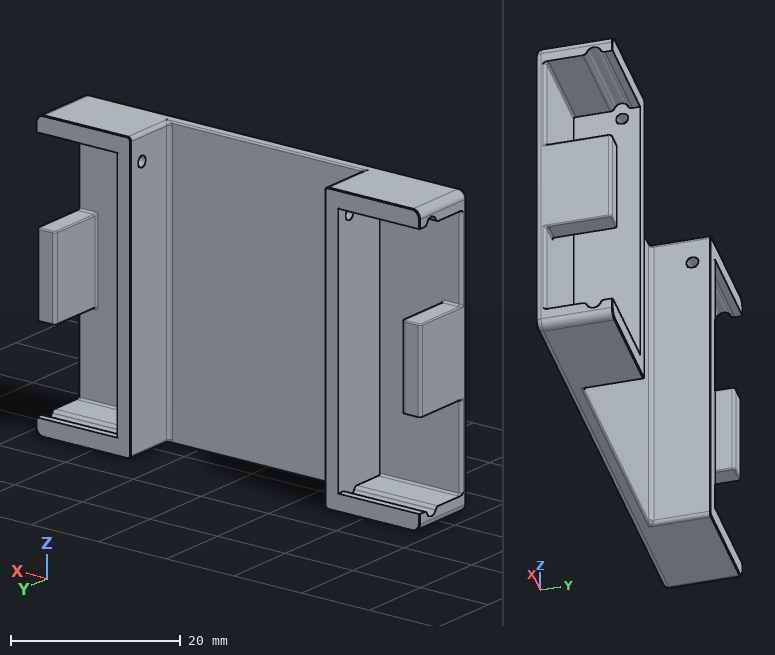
import cadquery as cq
import math

length = 56.7
depth = 9.45
height = 40.3

corner_radius = 1.1
front_radius = 0.7
rear_chamfer = 0.1

plate_thickness = 2.0
plate_edge_radius = 0.2
pod_length = 14.0
pod_edge_radius = 0.5
pod_root_radius = 0.5

pod_floor = 1.3
flange_thickness = 2.3
inner_wall_thickness = 2.0
sill_radius = 0.4
cavity_corner_radius = 0.3

tab_thickness = 2.7
tab_height = 11.75
tab_rear_setback = 0.15
tab_rear_radius = 0.4
tab_side_radius = 0.15

groove_radius = 0.9
groove_lip_radius = 0.55
groove_y = 7.15

hole_diameter = 1.5
hole_y = 7.25
hole_drop = 3.65

mid_x = length / 2
mid_z = height / 2
inner_wall_x = pod_length - inner_wall_thickness
cavity_height = height - 2 * flange_thickness
flange_faces_z = (flange_thickness, height - flange_thickness)
pod_inner_faces_x = (pod_length, length - pod_length)
plate_edges_z = (0, height)

margin = 0.55
tolerance = 0.005


def block(x_start, x_end, y_start, y_end, z_height):
    """Box centred on the part's middle height."""
    size = (x_end - x_start, y_end - y_start, z_height)
    corner = (x_start, y_start, mid_z - z_height / 2)
    return cq.Workplane("XY").box(*size, centered=False).translate(corner)


def edges_near(x, y, z, reach_x=tolerance, reach_y=tolerance, reach_z=tolerance):
    """Selector for edges whose centre lies in a box around a point."""
    low = (x - reach_x, y - reach_y, z - reach_z)
    high = (x + reach_x, y + reach_y, z + reach_z)
    return cq.selectors.BoxSelector(low, high)


def outer_body():
    """Rounded envelope with the gap between the pods cut away."""
    body = block(0, length, 0, depth, height)
    body = body.edges("|Y").fillet(corner_radius)
    body = body.faces("<Y").edges().fillet(front_radius)
    gap = block(*pod_inner_faces_x, plate_thickness, depth + margin, height + 2 * margin)
    body = body.cut(gap)

    pod_mid_y = (plate_thickness + depth) / 2
    for x in pod_inner_faces_x:
        for z in plate_edges_z:
            body = body.edges(edges_near(x, pod_mid_y, z)).fillet(pod_edge_radius)
    for z in plate_edges_z:
        body = body.edges(edges_near(mid_x, plate_thickness, z)).fillet(plate_edge_radius)
    for x in pod_inner_faces_x:
        body = body.edges(edges_near(x, plate_thickness, mid_z)).fillet(pod_root_radius)
    return body.faces(">Y").edges().chamfer(rear_chamfer)


def cavity_space():
    """Space inside the left pod, with a rounded sill at the end wall."""
    sill_y = pod_floor - sill_radius
    arc_inset = sill_radius * (1 - math.sqrt(0.5))
    return (
        cq.Workplane("XY", origin=(0, 0, flange_thickness))
        .moveTo(-margin, sill_y)
        .lineTo(0, sill_y)
        .threePointArc((arc_inset, pod_floor - arc_inset), (sill_radius, pod_floor))
        .lineTo(inner_wall_x, pod_floor)
        .lineTo(inner_wall_x, depth + margin)
        .lineTo(-margin, depth + margin)
        .close()
        .extrude(cavity_height)
    )


def add_grooves(cavity):
    """Widen the cavity by a round groove with rounded lips in each flange."""
    for z in flange_faces_z:
        rod = cq.Workplane("YZ", origin=(-margin, groove_y, z)).circle(groove_radius)
        cavity = cavity.union(rod.extrude(inner_wall_x + margin))
    groove_mid_x = (inner_wall_x - margin) / 2
    for z in flange_faces_z:
        lips = edges_near(groove_mid_x, groove_y, z, reach_y=groove_radius + tolerance)
        cavity = cavity.edges(lips).fillet(groove_lip_radius)
    return cavity


def end_tab():
    """Tab of the left end wall, rounded at its rear and along its outer sides."""
    tab = block(0, tab_thickness, 0, depth - tab_rear_setback, tab_height)
    tab = tab.faces(">Y").edges("|Z").fillet(tab_rear_radius)
    return tab.faces("<X").edges("|Y").fillet(tab_side_radius)


def left_pod_cutter():
    """Everything to remove from the left pod."""
    cutter = add_grooves(cavity_space()).cut(end_tab())
    floor_corners = edges_near(mid_x, pod_floor, mid_z, reach_x=mid_x, reach_z=mid_z)
    return cutter.edges("|X").edges(floor_corners).fillet(cavity_corner_radius)


left_pod = left_pod_cutter()
right_pod = left_pod.mirror("YZ").translate((length, 0, 0))
result = outer_body().cut(left_pod).cut(right_pod)

hole_centre = (0, hole_y, height - hole_drop)
hole = cq.Workplane("YZ", origin=hole_centre).circle(hole_diameter / 2).extrude(length)
result = result.cut(hole)